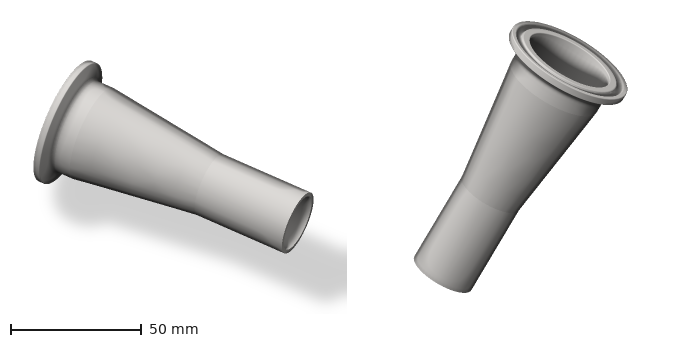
import cadquery as cq
import math

total_length = 101.6
reducer_start = 12.7
reducer_end = 63.5

large_outer_radius = 38.1 / 2
large_bore_radius = 34.7 / 2
small_outer_radius = 25.4 / 2
small_bore_radius = 22.1 / 2

flange_radius = 50.4 / 2
rim_width = 2.8
rim_rounding = 0.4
flange_back_angle = math.radians(20)
neck_fillet = 1.3

bore_mouth_rounding = 0.4

groove_center_radius = 21.8
groove_section_radius = 1.3
groove_lip_rounding = 0.6

match_tolerance = 0.001

flange_back_end = rim_width + (flange_radius - large_outer_radius) * math.tan(flange_back_angle)


def turn(profile):
    """Spin a closed half profile about the X axis."""
    return profile.close().revolve(360, (0, 0, 0), (1, 0, 0))


def make_outer_body():
    """Flange, large tube, conical reducer and small tube as one turned solid."""
    return turn(
        cq.Workplane("XY")
        .lineTo(0, flange_radius)
        .lineTo(rim_width, flange_radius)
        .lineTo(flange_back_end, large_outer_radius)
        .lineTo(reducer_start, large_outer_radius)
        .lineTo(reducer_end, small_outer_radius)
        .lineTo(total_length, small_outer_radius)
        .lineTo(total_length, 0)
    )


def make_bore():
    """Through passage that narrows along the reducer."""
    return turn(
        cq.Workplane("XY")
        .lineTo(0, large_bore_radius)
        .lineTo(reducer_start, large_bore_radius)
        .lineTo(reducer_end, small_bore_radius)
        .lineTo(total_length, small_bore_radius)
        .lineTo(total_length, 0)
    )


def make_gasket_groove():
    """Half-round ring groove, open toward -X."""
    return turn(
        cq.Workplane("XY")
        .moveTo(0, groove_center_radius - groove_section_radius)
        .threePointArc(
            (groove_section_radius, groove_center_radius),
            (0, groove_center_radius + groove_section_radius),
        )
    )


def round_circle(body, x, radius, rounding):
    """Fillet the full circular edge at axial place x with the given radius."""
    ring = [
        edge
        for edge in body.edges("%CIRCLE").vals()
        if math.isclose(edge.radius(), radius, abs_tol=match_tolerance)
        and math.isclose(edge.Center().x, x, abs_tol=match_tolerance)
    ]
    return body.newObject(ring).fillet(rounding)


body = make_outer_body().cut(make_bore()).cut(make_gasket_groove())

body = round_circle(body, 0, flange_radius, rim_rounding)
body = round_circle(body, rim_width, flange_radius, rim_rounding)
body = round_circle(body, flange_back_end, large_outer_radius, neck_fillet)

body = round_circle(body, 0, large_bore_radius, bore_mouth_rounding)
for side in (-1, 1):
    lip_radius = groove_center_radius + side * groove_section_radius
    body = round_circle(body, 0, lip_radius, groove_lip_rounding)

result = body